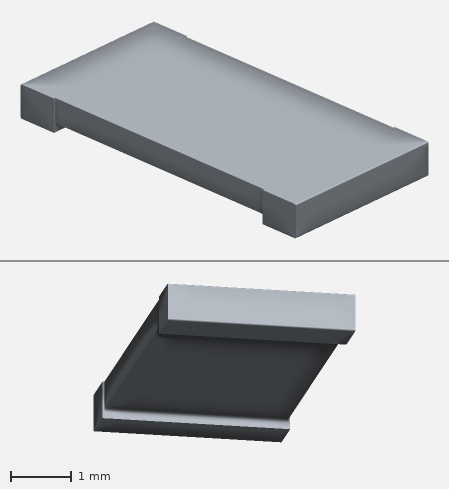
import cadquery as cq

LENGTH = 6.35
WIDTH = 3.18
HEIGHT = 0.64

TERMINAL_LENGTH = 0.77
END_EDGE_RADIUS = 0.025

STRIP_SIDE_INSET = 0.03
STRIP_THICKNESS = 0.47
STRIP_LENGTH = LENGTH - 2 * TERMINAL_LENGTH
STRIP_WIDTH = WIDTH - 2 * STRIP_SIDE_INSET
STRIP_BOTTOM = HEIGHT - STRIP_THICKNESS

CORNER_RADIUS = 0.05


def make_strip():
    """Flat strip whose ends butt against the terminals."""
    return (
        cq.Workplane("XY")
        .workplane(offset=STRIP_BOTTOM)
        .box(STRIP_LENGTH, STRIP_WIDTH, STRIP_THICKNESS, centered=(True, True, False))
        .union(make_corner_fillet(-1))
        .union(make_corner_fillet(1))
    )


def make_corner_fillet(side):
    """Concave fillet below one end of the strip; side is -1 or +1 along X."""
    end_x = side * STRIP_LENGTH / 2
    inner_x = end_x - side * CORNER_RADIUS
    arc_offset = CORNER_RADIUS * (1 - 0.5**0.5)
    return (
        cq.Workplane("XZ")
        .moveTo(end_x, STRIP_BOTTOM)
        .lineTo(inner_x, STRIP_BOTTOM)
        .threePointArc(
            (end_x - side * arc_offset, STRIP_BOTTOM - arc_offset),
            (end_x, STRIP_BOTTOM - CORNER_RADIUS),
        )
        .close()
        .extrude(STRIP_WIDTH / 2, both=True)
    )


def make_terminal(side):
    """End block with its outer top and bottom edges rounded; side is -1 or +1 along X."""
    outer_face = "<X" if side < 0 else ">X"
    center_x = side * (LENGTH - TERMINAL_LENGTH) / 2
    return (
        cq.Workplane("XY")
        .center(center_x, 0)
        .box(TERMINAL_LENGTH, WIDTH, HEIGHT, centered=(True, True, False))
        .faces(outer_face)
        .edges("|Y")
        .fillet(END_EDGE_RADIUS)
    )


strip = make_strip()
terminals = [make_terminal(side) for side in (-1, 1)]
result = cq.Compound.makeCompound([strip.val(), *[terminal.val() for terminal in terminals]])